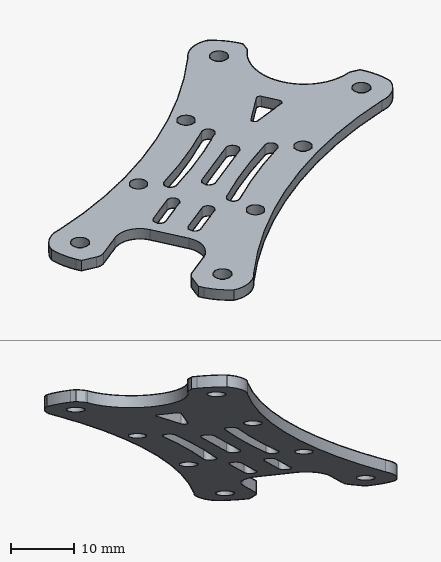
import cadquery as cq
import math

length = 67.9
width = 34.2
thickness = 2.0
half_length = length / 2
half_width = width / 2

lobe_radius = 4.95
lobe_x = half_width - lobe_radius
lobe_y = 29.2
lobe_break_x = 15.55
end_arc_radius = 12.15
end_flat_x = 10.9
chamfer_x = 10.0

waist_half_width = 12.2
waist_radius = 85.6

round_cutout_radius = 9.0
round_cutout_floor_y = 26.1
round_cutout_blend = 0.7

square_cutout_half_width = 7.55
square_cutout_floor_y = -21.6
square_cutout_corner_radius = 4.2
square_cutout_blend = 2.05

corner_hole_diameter = 3.0
inner_hole_diameter = 2.9
inner_hole_offset = 10.0

centre_slot_length = 12.2
centre_slot_width = 2.3
lower_slot_length = 7.75
lower_slot_width = 2.1
lower_slot_x = 3.0
lower_slot_y = -15.5
curved_slot_length = 18.05
curved_slot_width = 2.2
curved_slot_x = 5.0

window_top_y = 20.9
window_apex_y = 11.8
window_half_width = 2.3
window_corner_radius = 0.6


def circle_height(x, radius):
    """Height above the centre of a circle at sideways distance x."""
    return math.sqrt(radius**2 - x**2)


def waist_lobe_corner():
    """Point in the +X +Y quadrant where the concave side meets the lobe circle."""
    waist_centre_x = waist_half_width + waist_radius
    dx = waist_centre_x - lobe_x
    distance = math.hypot(dx, lobe_y)
    along = (lobe_radius**2 - waist_radius**2 + distance**2) / (2 * distance)
    across = circle_height(along, lobe_radius)
    x = lobe_x + (along * dx - across * lobe_y) / distance
    y = lobe_y - (along * lobe_y + across * dx) / distance
    return x, y


def make_body():
    """Plate outline with four lobes and concave sides, before the end cutouts."""
    corner_x, corner_y = waist_lobe_corner()
    break_y = lobe_y + circle_height(lobe_break_x - lobe_x, lobe_radius)
    end_mid_x = (lobe_break_x + end_flat_x) / 2
    chord_x = end_flat_x - lobe_break_x
    chord_y = half_length - break_y
    chord = math.hypot(chord_x, chord_y)
    bulge = end_arc_radius - circle_height(chord / 2, end_arc_radius)
    end_mid = (
        end_mid_x + bulge * chord_y / chord,
        (break_y + half_length) / 2 - bulge * chord_x / chord,
    )
    return (
        cq.Workplane("XY")
        .moveTo(corner_x, -corner_y)
        .threePointArc((waist_half_width, 0), (corner_x, corner_y))
        .threePointArc((half_width, lobe_y), (lobe_break_x, break_y))
        .threePointArc(end_mid, (end_flat_x, half_length))
        .lineTo(-end_flat_x, half_length)
        .threePointArc((-end_mid[0], end_mid[1]), (-lobe_break_x, break_y))
        .threePointArc((-half_width, lobe_y), (-corner_x, corner_y))
        .threePointArc((-waist_half_width, 0), (-corner_x, -corner_y))
        .threePointArc((-half_width, -lobe_y), (-lobe_break_x, -break_y))
        .threePointArc((-end_mid[0], -end_mid[1]), (-end_flat_x, -half_length))
        .lineTo(end_flat_x, -half_length)
        .threePointArc((end_mid[0], -end_mid[1]), (lobe_break_x, -break_y))
        .threePointArc((half_width, -lobe_y), (corner_x, -corner_y))
        .close()
        .extrude(thickness)
    )


def fillet_upright_edges(body, x, y, radius):
    """Round the pair of vertical edges at (x, y) and (-x, y)."""
    for edge_x in (x, -x):
        selector = cq.selectors.NearestToPointSelector((edge_x, y, thickness / 2))
        body = body.edges("|Z").edges(selector).fillet(radius)
    return body


def cut_round_end(body):
    """Circular bite at +Y with chamfered, blended mouth corners."""
    centre_y = round_cutout_floor_y + round_cutout_radius
    chamfer_offset = half_length - chamfer_x
    gap = centre_y - chamfer_offset
    mouth_x = (gap + math.sqrt(2 * round_cutout_radius**2 - gap**2)) / 2
    mouth_y = mouth_x + chamfer_offset
    cutter = (
        cq.Workplane("XY")
        .moveTo(-chamfer_x, half_length)
        .lineTo(-mouth_x, mouth_y)
        .threePointArc((0, round_cutout_floor_y), (mouth_x, mouth_y))
        .lineTo(chamfer_x, half_length)
        .close()
        .extrude(thickness)
    )
    return fillet_upright_edges(body.cut(cutter), mouth_x, mouth_y, round_cutout_blend)


def cut_square_end(body):
    """Rectangular bite at -Y with round inner corners and a chamfered mouth."""
    mouth_x = square_cutout_half_width
    mouth_y = -half_length + chamfer_x - mouth_x
    floor_y = square_cutout_floor_y
    cutter = (
        cq.Workplane("XY")
        .polyline([
            (-chamfer_x, -half_length),
            (-mouth_x, mouth_y),
            (-mouth_x, floor_y),
            (mouth_x, floor_y),
            (mouth_x, mouth_y),
            (chamfer_x, -half_length),
        ])
        .close()
        .extrude(thickness)
    )
    body = body.cut(cutter)
    body = fillet_upright_edges(body, mouth_x, floor_y, square_cutout_corner_radius)
    return fillet_upright_edges(body, mouth_x, mouth_y, square_cutout_blend)


def make_holes(offset_x, offset_y, diameter):
    """Four cylinders placed symmetrically about both axes."""
    return (
        cq.Workplane("XY")
        .rect(2 * offset_x, 2 * offset_y, forConstruction=True)
        .vertices()
        .circle(diameter / 2)
        .extrude(thickness)
    )


def make_straight_slots(centres, slot_length, slot_width):
    """Round-ended slots running along Y."""
    return (
        cq.Workplane("XY")
        .pushPoints(centres)
        .slot2D(slot_length, slot_width, 90)
        .extrude(thickness)
    )


def make_curved_slot():
    """Slot on the +X side, concentric with the concave side of the plate."""
    path_radius = waist_half_width + waist_radius - curved_slot_x
    half_slot = curved_slot_width / 2
    arc_centre_x = curved_slot_x + path_radius
    end_y = curved_slot_length / 2 - half_slot
    angle = math.asin(end_y / path_radius)

    def arc_point(radius, turn):
        return arc_centre_x - radius * math.cos(turn), radius * math.sin(turn)

    inner = path_radius - half_slot
    outer = path_radius + half_slot
    cap_x, cap_y = arc_point(path_radius, angle)
    cap_tip = (cap_x + half_slot * math.sin(angle), cap_y + half_slot * math.cos(angle))
    return (
        cq.Workplane("XY")
        .moveTo(*arc_point(outer, -angle))
        .threePointArc(arc_point(outer, 0), arc_point(outer, angle))
        .threePointArc(cap_tip, arc_point(inner, angle))
        .threePointArc(arc_point(inner, 0), arc_point(inner, -angle))
        .threePointArc((cap_tip[0], -cap_tip[1]), arc_point(outer, -angle))
        .close()
        .extrude(thickness)
    )


def make_window():
    """Rounded triangle pointing toward -Y."""
    return (
        cq.Workplane("XY")
        .moveTo(-window_half_width, window_top_y)
        .lineTo(window_half_width, window_top_y)
        .lineTo(0, window_apex_y)
        .close()
        .extrude(thickness)
        .edges("|Z")
        .fillet(window_corner_radius)
    )


result = cut_square_end(cut_round_end(make_body()))

curved_slot = make_curved_slot()
lower_slot_centres = [(-lower_slot_x, lower_slot_y), (lower_slot_x, lower_slot_y)]
openings = [
    make_holes(lobe_x, lobe_y, corner_hole_diameter),
    make_holes(inner_hole_offset, inner_hole_offset, inner_hole_diameter),
    make_straight_slots([(0, 0)], centre_slot_length, centre_slot_width),
    make_straight_slots(lower_slot_centres, lower_slot_length, lower_slot_width),
    curved_slot,
    curved_slot.mirror("YZ"),
    make_window(),
]
for opening in openings:
    result = result.cut(opening)